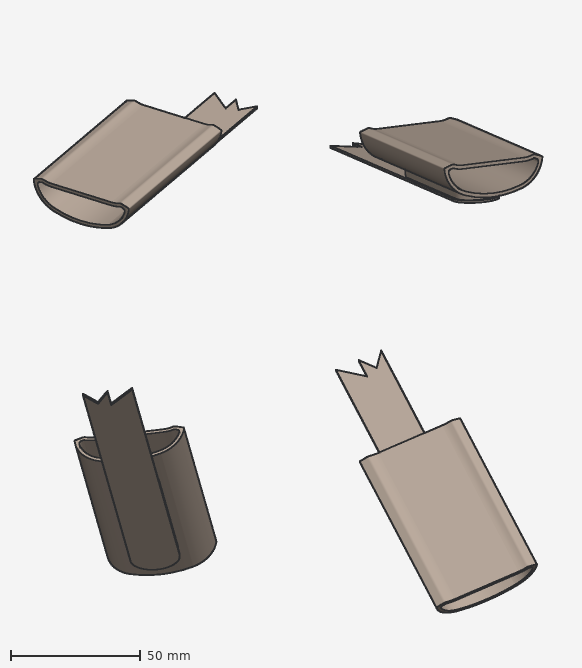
import cadquery as cq
import math

tube_length = 69.0
tube_bottom_z = 3.7
wall = 1.5
floor_radius = 39.2
half_floor = 12.5
half_width = 21.5
corner_z = 17.4
corner_radius = 0.6
inner_corner_radius = 2.5 / 2
ridge_x = 17.8
ridge_top_z = 18.6
ridge_radius = 4.0 / 2
ridge_height = 0.75
roof_z = ridge_top_z - ridge_height
half_roof = 13.6

strap_thickness = 0.9
strap_half_width = 9.7
strap_end_y = 115.3
strap_nose = 7.0
long_notch_depth = 7.7
short_notch_depth = 6.0

block_half_width = 8.8
block_nose = 5.8
block_flare = 4.0
block_rough_top_z = 5.8
straight_inset = 14.5


def point_on_circle(center, radius, angle):
    return center[0] + radius * math.cos(angle), center[1] + radius * math.sin(angle)


def tube_envelope():
    """The tube without its opening: half an outline, mirrored about the YZ plane."""
    floor_angle = math.asin(half_floor / floor_radius)
    floor_center = (0, tube_bottom_z + floor_radius)
    floor_start = (0, tube_bottom_z)
    floor_mid = point_on_circle(floor_center, floor_radius, (floor_angle - math.pi) / 2)
    floor_edge = point_on_circle(floor_center, floor_radius, floor_angle - math.pi / 2)
    corner = (half_width, corner_z)

    ridge_center = (ridge_x, ridge_top_z - ridge_radius)
    corner_dx = half_width - ridge_center[0]
    corner_dz = corner_z - ridge_center[1]
    corner_reach = math.hypot(corner_dx, corner_dz)
    flat_angle = math.atan2(corner_dz, corner_dx) + math.acos(ridge_radius / corner_reach)
    ridge_start = point_on_circle(ridge_center, ridge_radius, flat_angle)

    run = ridge_x - half_roof
    rise = roof_z - ridge_center[1]
    hollow_radius = (run**2 + rise**2 - ridge_radius**2) / (2 * (ridge_radius - rise))
    hollow_center = (half_roof, roof_z + hollow_radius)
    hollow_angle = math.atan2(hollow_center[1] - ridge_center[1], -run)
    ridge_end = point_on_circle(ridge_center, ridge_radius, hollow_angle)
    ridge_mid = point_on_circle(ridge_center, ridge_radius, (flat_angle + hollow_angle) / 2)
    roof_edge = (half_roof, roof_z)
    hollow_mid_angle = (hollow_angle - math.pi - math.pi / 2) / 2
    hollow_mid = point_on_circle(hollow_center, hollow_radius, hollow_mid_angle)

    half_outline = (
        cq.Workplane("XZ")
        .moveTo(*floor_start)
        .threePointArc(floor_mid, floor_edge)
        .tangentArcPoint(corner, relative=False)
        .lineTo(*ridge_start)
        .threePointArc(ridge_mid, ridge_end)
        .threePointArc(hollow_mid, roof_edge)
        .lineTo(0, roof_z)
    )
    return half_outline.mirrorY().extrude(-tube_length)


def round_corners(body, radius):
    """Round the outermost edge on each side."""
    return body.edges("|Y").edges("<X or >X").fillet(radius)


def make_tube(envelope):
    outline = envelope.faces("<Y").wires().toPending()
    opening = outline.offset2D(-wall).extrude(-tube_length, combine=False)
    return round_corners(envelope, corner_radius).cut(round_corners(opening, inner_corner_radius))


def make_block(envelope):
    """Flared spacer with elliptical ends, its top hollowed to fit the underside of the tube."""
    rear_inset_y = tube_length - straight_inset
    block = (
        cq.Workplane("XY", origin=(0, 0, strap_thickness))
        .moveTo(block_half_width, straight_inset)
        .lineTo(block_half_width, rear_inset_y)
        .ellipseArc(block_half_width, block_nose, 0, 180, startAtCurrent=True)
        .lineTo(-block_half_width, straight_inset)
        .ellipseArc(block_half_width, block_nose, 180, 360, startAtCurrent=True)
        .close()
        .extrude(block_rough_top_z - strap_thickness, taper=-block_flare)
    )
    return block.cut(envelope)


def make_strap():
    """Thin strip with an elliptical front end and a ragged, torn rear end."""
    return (
        cq.Workplane("XY")
        .moveTo(strap_half_width, straight_inset)
        .lineTo(strap_half_width, strap_end_y)
        .lineTo(strap_half_width / 2, strap_end_y - short_notch_depth)
        .lineTo(0, strap_end_y)
        .lineTo(0, strap_end_y - long_notch_depth)
        .lineTo(-strap_half_width, strap_end_y)
        .lineTo(-strap_half_width, straight_inset)
        .ellipseArc(strap_half_width, strap_nose, 180, 360, startAtCurrent=True)
        .close()
        .extrude(strap_thickness)
    )


tube_shape = tube_envelope()
tube = make_tube(tube_shape)
block = make_block(tube_shape)
strap = make_strap()
result = cq.Compound.makeCompound([tube.val(), block.val(), strap.val()])